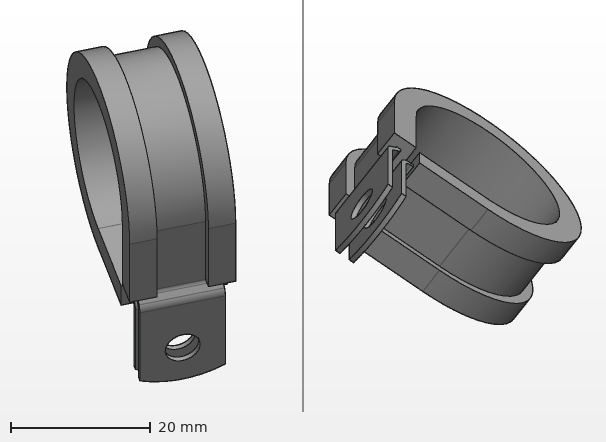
import cadquery as cq
import math


bore_radius = 12.7
cushion_radius = 16.57
cushion_width = 15.75
upright_leg = 11.7
level_leg = 12.1

groove_depth = 1.52
groove_width = 7.62
strap_width = 12.7
strap_thickness = 0.81
strap_radius = cushion_radius - groove_depth

inner_bend = strap_thickness
outer_bend = inner_bend + strap_thickness
jog_angle = math.radians(45)

tab_bottom = 45.87 - cushion_radius
tab_gap = 1.6
tip_radius = 15.875
hole_diameter = 5.16
hole_to_tip = 6.35

outer_tab_face = cushion_radius
inner_tab_face = outer_tab_face - strap_thickness - tab_gap


def extrude_across(outline, width):
    """Extrude a closed XZ outline to the given width, centred on Y = 0."""
    return outline.extrude(width / 2, both=True)


def loop_band(outer_radius, inner_radius, width):
    """Three-quarter ring with a vertical leg on +X and a horizontal leg below."""
    diagonal = math.sqrt(0.5)
    outline = (
        cq.Workplane("XZ")
        .moveTo(outer_radius, -upright_leg)
        .lineTo(outer_radius, 0)
        .threePointArc((-outer_radius * diagonal, outer_radius * diagonal), (0, -outer_radius))
        .lineTo(level_leg, -outer_radius)
        .lineTo(level_leg, -inner_radius)
        .lineTo(0, -inner_radius)
        .threePointArc((-inner_radius * diagonal, inner_radius * diagonal), (inner_radius, 0))
        .lineTo(inner_radius, -upright_leg)
        .close()
    )
    return extrude_across(outline, width)


def make_cushion():
    """Rubber loop with a groove that exposes the middle of the strap."""
    groove = loop_band(cushion_radius, strap_radius, groove_width)
    return loop_band(cushion_radius, bore_radius, cushion_width).cut(groove)


def make_inner_tab():
    """Strap end that leaves the horizontal leg and turns straight down."""
    strap_top = strap_thickness - strap_radius
    back_face = inner_tab_face - strap_thickness
    outline = (
        cq.Workplane("XZ")
        .moveTo(level_leg, strap_top)
        .lineTo(inner_tab_face - outer_bend, strap_top)
        .radiusArc((inner_tab_face, strap_top - outer_bend), outer_bend)
        .lineTo(inner_tab_face, -tab_bottom)
        .lineTo(back_face, -tab_bottom)
        .lineTo(back_face, -strap_radius - inner_bend)
        .radiusArc((back_face - inner_bend, -strap_radius), -inner_bend)
        .lineTo(level_leg, -strap_radius)
        .close()
    )
    return extrude_across(outline, strap_width)


def make_outer_tab():
    """Strap end that leaves the vertical leg and jogs outward before running down."""
    inner_rise = inner_bend * math.sin(jog_angle)
    outer_rise = outer_bend * math.sin(jog_angle)
    inner_shift = inner_bend * (1 - math.cos(jog_angle))
    outer_shift = outer_bend * (1 - math.cos(jog_angle))
    slant_drop = (groove_depth - inner_shift - outer_shift) / math.tan(jog_angle)

    jog_top = -upright_leg
    jog_bottom = jog_top - inner_rise - slant_drop - outer_rise
    strap_back = strap_radius - strap_thickness
    tab_back = outer_tab_face - strap_thickness
    outline = (
        cq.Workplane("XZ")
        .moveTo(strap_radius, jog_top)
        .radiusArc((strap_radius + inner_shift, jog_top - inner_rise), -inner_bend)
        .lineTo(outer_tab_face - outer_shift, jog_bottom + outer_rise)
        .radiusArc((outer_tab_face, jog_bottom), outer_bend)
        .lineTo(outer_tab_face, -tab_bottom)
        .lineTo(tab_back, -tab_bottom)
        .lineTo(tab_back, jog_bottom)
        .radiusArc((tab_back - inner_shift, jog_bottom + inner_rise), -inner_bend)
        .lineTo(strap_back + outer_shift, jog_top - outer_rise)
        .radiusArc((strap_back, jog_top), outer_bend)
        .close()
    )
    return extrude_across(outline, strap_width)


def make_tab_blank():
    """Block along X with the tab face shape: curved lower tip and a bolt hole."""
    half_width = strap_width / 2
    tip_height = tip_radius - math.sqrt(tip_radius**2 - half_width**2)
    corner_z = tip_height - tab_bottom
    blank = (
        cq.Workplane("YZ")
        .moveTo(-half_width, 0)
        .lineTo(-half_width, corner_z)
        .threePointArc((0, -tab_bottom), (half_width, corner_z))
        .lineTo(half_width, 0)
        .close()
        .extrude(cushion_radius)
    )
    hole = (
        cq.Workplane("YZ")
        .center(0, hole_to_tip - tab_bottom)
        .circle(hole_diameter / 2)
        .extrude(cushion_radius)
    )
    return blank.cut(hole)


result = make_cushion()
for tab in (make_inner_tab(), make_outer_tab()):
    result = result.union(tab.intersect(make_tab_blank()))